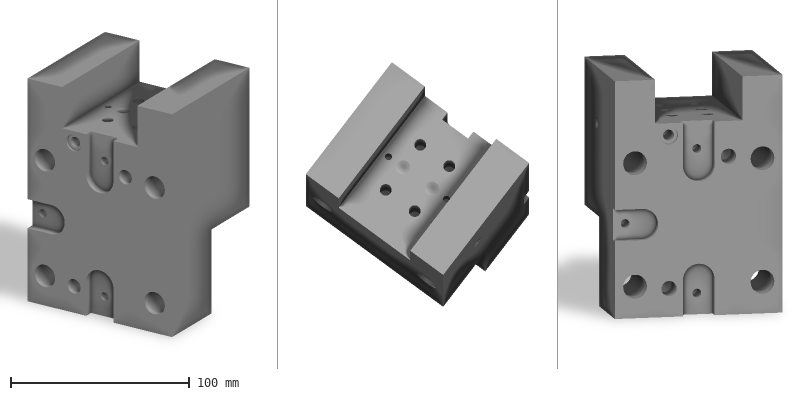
import cadquery as cq
import math

WIDTH = 96.0
DEPTH = 80.0
HEIGHT = 135.0

FOOT_DEPTH = 40.9
FOOT_HEIGHT = 50.9
CHANNEL_WIDTH = 50.0
CHANNEL_DEPTH = 25.0
CHANNEL_FLOOR = HEIGHT - CHANNEL_DEPTH

MOUNT_DIAMETER = 13.5
MOUNT_X = 36.5
MOUNT_LOW_Z = 18.0
MOUNT_HIGH_Z = 88.0

POCKET_DEPTH = 5.0
POCKET_WIDTH = 18.1
TOP_POCKET_END_Z = 76.4
BASE_POCKET_END_Z = 29.5
SIDE_POCKET_WIDTH = 17.7
SIDE_POCKET_LENGTH = 24.7
SIDE_POCKET_Z = 53.0

POCKET_HOLE_DIAMETER = 5.0
POCKET_HOLE_DEPTH = 10.8
TOP_POCKET_HOLE_Z = 94.1
BASE_POCKET_HOLE_Z = 12.0
SIDE_POCKET_HOLE_INSET = 7.0

DOWEL_DIAMETER = 8.6
DOWEL_DEPTH = 13.5
DOWEL_X = 17.0
DOWEL_LOW_Z = 16.0
DOWEL_HIGH_Z = 89.9

PORT_Z = 103.0
FRONT_PORT_DIAMETER = 6.2
FRONT_PORT_X = -17.0
FRONT_PORT_DEPTH = 16.2
SEAL_DIAMETER = 10.1
SEAL_DEPTH = 1.4
SIDE_PORT_DIAMETER = 6.0
SIDE_PORT_MOUTH_DIAMETER = 6.6
SIDE_PORT_CHAMFER = (SIDE_PORT_MOUTH_DIAMETER - SIDE_PORT_DIAMETER) / 2
SIDE_PORT_Y = 48.0
SIDE_PORT_DEPTH = 16.2

PATTERN_Y = DEPTH / 2
SCREW_DIAMETER = 6.6
SCREW_DEPTH = 16.2
SCREW_X = 10.1
SCREW_OFFSET_Y = 16.0

DIMPLE_DIAMETER = 8.0
DIMPLE_DEPTH = 1.5

PIN_DIAMETER = 3.9
PIN_DEPTH = 8.1
PIN_X = 20.2

DRILL_POINT_ANGLE = 118.0

INTO_FRONT = cq.Vector(0, 1, 0)
INTO_LEFT_SIDE = cq.Vector(1, 0, 0)
DOWN = cq.Vector(0, 0, -1)


def cylinder(diameter, length, start, direction):
    return cq.Solid.makeCylinder(diameter / 2, length, cq.Vector(*start), direction)


def cone(start_diameter, end_diameter, length, start, direction):
    return cq.Solid.makeCone(start_diameter / 2, end_diameter / 2, length, cq.Vector(*start), direction)


def blind_hole(diameter, depth, start, direction):
    """Drilled hole: a cylinder of the given depth with a drill point beyond it."""
    point_length = diameter / 2 / math.tan(math.radians(DRILL_POINT_ANGLE / 2))
    point_start = cq.Vector(*start) + direction * depth
    bore = cylinder(diameter, depth, start, direction)
    return bore.fuse(cone(diameter, 0, point_length, point_start.toTuple(), direction))


def block():
    side_profile = [
        (0, 0),
        (FOOT_DEPTH, 0),
        (FOOT_DEPTH, FOOT_HEIGHT),
        (DEPTH, FOOT_HEIGHT),
        (DEPTH, HEIGHT),
        (0, HEIGHT),
    ]
    body = cq.Workplane("YZ").polyline(side_profile).close().extrude(WIDTH / 2, both=True)
    channel = cq.Workplane("XY").box(CHANNEL_WIDTH, DEPTH, CHANNEL_DEPTH, centered=(True, False, False))
    return body.cut(channel.translate((0, 0, CHANNEL_FLOOR)))


def pocket(width, open_end, round_end):
    """Front-face pocket from the (x, z) point open_end to the tip of its semicircular end at round_end."""
    run_x = round_end[0] - open_end[0]
    run_z = round_end[1] - open_end[1]
    length = math.hypot(run_x, run_z)
    straight = length - width / 2
    angle = math.degrees(math.atan2(run_z, run_x))
    outline = (
        cq.Workplane("XZ")
        .moveTo(0, -width / 2)
        .lineTo(straight, -width / 2)
        .threePointArc((length, 0), (straight, width / 2))
        .lineTo(0, width / 2)
        .close()
    )
    cutter = outline.extrude(-POCKET_DEPTH)
    return cutter.rotate((0, 0, 0), (0, 1, 0), -angle).translate((open_end[0], 0, open_end[1]))


result = block()

result = result.cut(pocket(POCKET_WIDTH, (0, CHANNEL_FLOOR), (0, TOP_POCKET_END_Z)))
result = result.cut(pocket(POCKET_WIDTH, (0, 0), (0, BASE_POCKET_END_Z)))
side_pocket_tip = (SIDE_POCKET_LENGTH - WIDTH / 2, SIDE_POCKET_Z)
result = result.cut(pocket(SIDE_POCKET_WIDTH, (-WIDTH / 2, SIDE_POCKET_Z), side_pocket_tip))

side_hole_x = SIDE_POCKET_HOLE_INSET - WIDTH / 2
for x, z in [(0, TOP_POCKET_HOLE_Z), (0, BASE_POCKET_HOLE_Z), (side_hole_x, SIDE_POCKET_Z)]:
    result = result.cut(blind_hole(POCKET_HOLE_DIAMETER, POCKET_HOLE_DEPTH, (x, POCKET_DEPTH, z), INTO_FRONT))

for x in (-MOUNT_X, MOUNT_X):
    for z in (MOUNT_LOW_Z, MOUNT_HIGH_Z):
        result = result.cut(cylinder(MOUNT_DIAMETER, DEPTH, (x, 0, z), INTO_FRONT))

for x, z in [(-DOWEL_X, DOWEL_LOW_Z), (DOWEL_X, DOWEL_HIGH_Z)]:
    result = result.cut(blind_hole(DOWEL_DIAMETER, DOWEL_DEPTH, (x, 0, z), INTO_FRONT))

result = result.cut(cylinder(SEAL_DIAMETER, SEAL_DEPTH, (FRONT_PORT_X, 0, PORT_Z), INTO_FRONT))
front_port_start = (FRONT_PORT_X, SEAL_DEPTH, PORT_Z)
result = result.cut(blind_hole(FRONT_PORT_DIAMETER, FRONT_PORT_DEPTH, front_port_start, INTO_FRONT))

side_port_start = (-WIDTH / 2, SIDE_PORT_Y, PORT_Z)
result = result.cut(blind_hole(SIDE_PORT_DIAMETER, SIDE_PORT_DEPTH, side_port_start, INTO_LEFT_SIDE))
side_port_chamfer = cone(
    SIDE_PORT_MOUTH_DIAMETER, SIDE_PORT_DIAMETER, SIDE_PORT_CHAMFER, side_port_start, INTO_LEFT_SIDE
)
result = result.cut(side_port_chamfer)

for side in (-1, 1):
    for offset_y in (-SCREW_OFFSET_Y, SCREW_OFFSET_Y):
        screw_start = (side * SCREW_X, PATTERN_Y + offset_y, CHANNEL_FLOOR)
        result = result.cut(blind_hole(SCREW_DIAMETER, SCREW_DEPTH, screw_start, DOWN))
    dimple_start = (side * SCREW_X, PATTERN_Y, CHANNEL_FLOOR)
    result = result.cut(cone(DIMPLE_DIAMETER, 0, DIMPLE_DEPTH, dimple_start, DOWN))
    pin_start = (side * PIN_X, PATTERN_Y, CHANNEL_FLOOR)
    result = result.cut(blind_hole(PIN_DIAMETER, PIN_DEPTH, pin_start, DOWN))